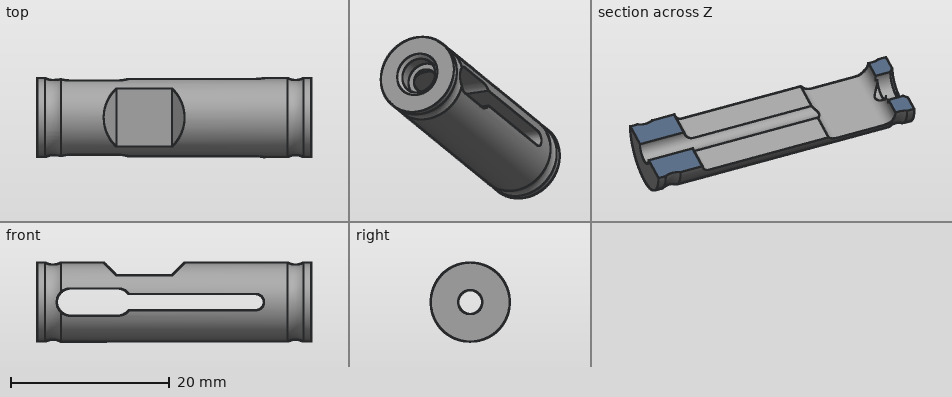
import cadquery as cq
import math

full_turn = 360
axis_start = (0, 0, 0)
axis_end = (1, 0, 0)

body_length = 34.6
body_diameter = 10.0
body_radius = body_diameter / 2

groove_offset = 1.0
groove_width = 2.0
groove_depth = 0.25

bore_diameter = 3.0
counterbore_diameter = 4.5
counterbore_depth = 2.5
counterbore_chamfer = 0.5

wide_slot_start = 2.5
wide_slot_width = 3.4
wide_slot_length = 9.4
narrow_slot_width = 2.0
slot_end_margin = 6.0
slot_end = body_length - slot_end_margin

flat_start = 10.0
flat_length = 7.0
flat_depth = 1.6


def make_body():
    """Turned cylinder profile with an arc groove at both ends."""
    groove_floor = body_radius - groove_depth
    left_groove = groove_offset
    right_groove = body_length - groove_offset - groove_width
    outline = cq.Workplane("XY").lineTo(0, body_radius)
    for start in (left_groove, right_groove):
        outline = outline.lineTo(start, body_radius).threePointArc(
            (start + groove_width / 2, groove_floor),
            (start + groove_width, body_radius),
        )
    outline = outline.lineTo(body_length, body_radius).lineTo(body_length, 0).close()
    return outline.revolve(full_turn, axis_start, axis_end)


def make_bore():
    """Stepped bore along X: chamfer, counterbore, then the through hole."""
    bore_radius = bore_diameter / 2
    counterbore_radius = counterbore_diameter / 2
    outline = (
        cq.Workplane("XY")
        .lineTo(0, counterbore_radius + counterbore_chamfer)
        .lineTo(counterbore_chamfer, counterbore_radius)
        .lineTo(counterbore_depth, counterbore_radius)
        .lineTo(counterbore_depth, bore_radius)
        .lineTo(body_length, bore_radius)
        .lineTo(body_length, 0)
        .close()
    )
    return outline.revolve(full_turn, axis_start, axis_end)


def make_slot():
    """Wide round-ended slot running into a narrower one with a round end."""
    wide_radius = wide_slot_width / 2
    narrow_radius = narrow_slot_width / 2
    wide_end = wide_slot_start + wide_slot_length
    left_center = wide_slot_start + wide_radius
    right_center = wide_end - wide_radius
    junction = right_center + math.sqrt(wide_radius**2 - narrow_radius**2)
    arc_middle_angle = (math.pi / 2 + math.asin(narrow_radius / wide_radius)) / 2
    arc_middle_x = right_center + wide_radius * math.cos(arc_middle_angle)
    arc_middle_z = wide_radius * math.sin(arc_middle_angle)
    narrow_center = slot_end - narrow_radius
    return (
        cq.Workplane("XZ")
        .moveTo(left_center, wide_radius)
        .lineTo(right_center, wide_radius)
        .threePointArc((arc_middle_x, arc_middle_z), (junction, narrow_radius))
        .lineTo(narrow_center, narrow_radius)
        .threePointArc((slot_end, 0), (narrow_center, -narrow_radius))
        .lineTo(junction, -narrow_radius)
        .threePointArc((arc_middle_x, -arc_middle_z), (right_center, -wide_radius))
        .lineTo(left_center, -wide_radius)
        .threePointArc((wide_slot_start, 0), (left_center, wide_radius))
        .close()
        .extrude(body_radius, both=True)
    )


def make_top_flat():
    """Trapezoidal notch across the top; each ramp is as long as it is deep."""
    flat_end = flat_start + flat_length
    flat_height = body_radius - flat_depth
    return (
        cq.Workplane("XZ")
        .moveTo(flat_start, flat_height)
        .lineTo(flat_end, flat_height)
        .lineTo(flat_end + flat_depth, body_radius)
        .lineTo(flat_start - flat_depth, body_radius)
        .close()
        .extrude(body_radius, both=True)
    )


result = make_body().cut(make_bore()).cut(make_slot()).cut(make_top_flat())